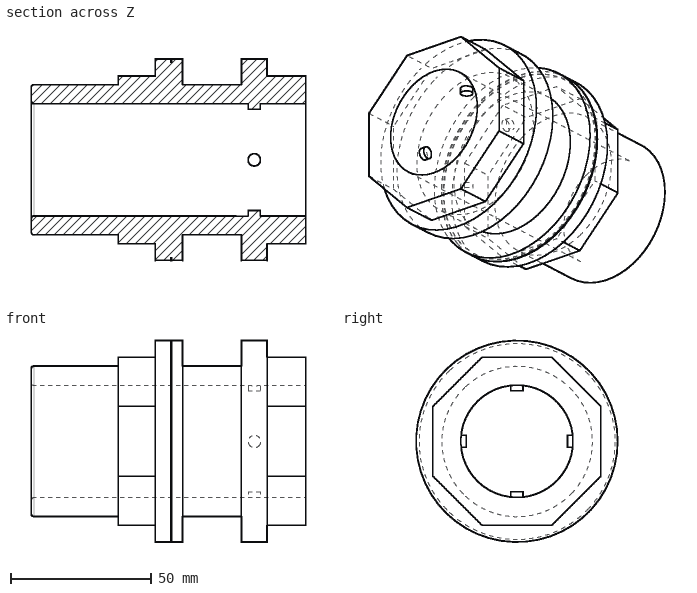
import cadquery as cq

LENGTH = 98.0
FIRST_NUT_START = 31.0
FIRST_FLANGE_START = 44.2
GROOVE_CENTER = 50.0
FIRST_FLANGE_END = 54.0
SECOND_FLANGE_START = 75.0
SECOND_FLANGE_END = 84.2

BORE_DIAMETER = 40.0
PIPE_DIAMETER = 53.75
FLANGE_DIAMETER = 72.0
NUT_ACROSS_FLATS = 60.0
NUT_SIDES = 8

GROOVE_DIAMETER = 70.0
GROOVE_WIDTH = 0.3

END_FILLET = 1.0

PIN_COUNT = 4
PIN_DIAMETER = 4.4
PIN_PROTRUSION = 2.0
PIN_ROOT_DEPTH = 2.0
PIN_STATION = (SECOND_FLANGE_START + SECOND_FLANGE_END) / 2


def disc(diameter, start, end):
    """Solid cylinder along X between two stations."""
    return cq.Workplane("YZ", origin=(start, 0, 0)).circle(diameter / 2).extrude(end - start)


def octagon(start, end):
    """Octagonal prism along X with flats facing Y and Z."""
    return (
        cq.Workplane("YZ", origin=(start, 0, 0))
        .polygon(NUT_SIDES, NUT_ACROSS_FLATS, circumscribed=True)
        .extrude(end - start)
    )


def fitting_body():
    """Pipe with two flanges, two octagons and a through bore."""
    pipe = disc(PIPE_DIAMETER, 0, LENGTH).cut(disc(BORE_DIAMETER, 0, LENGTH))
    pipe = pipe.faces("<X").edges().fillet(END_FILLET)
    collars = (
        octagon(FIRST_NUT_START, FIRST_FLANGE_START)
        .union(disc(FLANGE_DIAMETER, FIRST_FLANGE_START, FIRST_FLANGE_END))
        .union(disc(FLANGE_DIAMETER, SECOND_FLANGE_START, SECOND_FLANGE_END))
        .union(octagon(SECOND_FLANGE_END, LENGTH))
        .cut(disc(BORE_DIAMETER, 0, LENGTH))
    )
    return pipe.union(collars)


def flange_groove():
    """Ring removed from the rim of the first flange."""
    start = GROOVE_CENTER - GROOVE_WIDTH / 2
    end = GROOVE_CENTER + GROOVE_WIDTH / 2
    return disc(FLANGE_DIAMETER, start, end).cut(disc(GROOVE_DIAMETER, start, end))


def bore_pins():
    """Round pins pointing at the axis, equally spaced around the bore."""
    bore_radius = BORE_DIAMETER / 2
    tip_radius = bore_radius - PIN_PROTRUSION
    pin = (
        cq.Workplane("XY", origin=(PIN_STATION, 0, tip_radius))
        .circle(PIN_DIAMETER / 2)
        .extrude(PIN_PROTRUSION + PIN_ROOT_DEPTH)
    )
    pins = cq.Workplane("XY")
    for index in range(PIN_COUNT):
        pins = pins.add(pin.rotate((0, 0, 0), (1, 0, 0), index * 360 / PIN_COUNT))
    return pins.combine()


result = fitting_body().cut(flange_groove()).union(bore_pins())